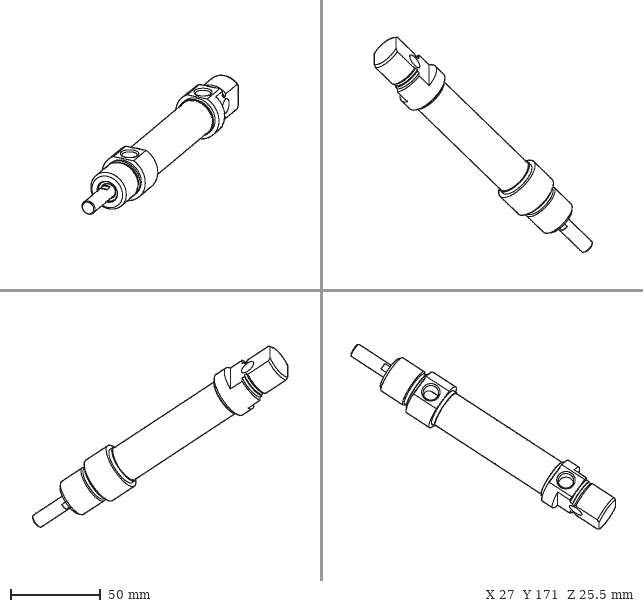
import cadquery as cq
import math

LENGTH = 171.0
OVERSHOOT = 1.7

COLLAR_D = 27.0
COLLAR_LENGTH = 15.5
TOP_FLAT_Z = 12.0
THREAD_D = 22.0
GROOVE_D = 20.0
LIP_D = 22.2
LIP_LENGTH = 2.0

PORT_D = 8.5
PORT_MOUTH_D = 10.3
PORT_CHAMFER = (PORT_MOUTH_D - PORT_D) / 2
DRILL_POINT_ANGLE = 118.0

REAR_CHAMFER = 1.2
REAR_GROOVE_START = 15.7
REAR_GROOVE_TAPER = 1.0
REAR_GROOVE_END = 18.1
REAR_COLLAR_START = 19.7
REAR_COLLAR_END = REAR_COLLAR_START + COLLAR_LENGTH
TONGUE_WIDTH = 16.0
TONGUE_END = 28.0
PIVOT_HOLE_D = 8.5
PIVOT_HOLE_AT = 15.9
REAR_PORT_AT = 28.0
REAR_PORT_FLOOR_Z = 5.1

TUBE_D = 21.2
TUBE_BORE_D = 20.0
TUBE_START = REAR_COLLAR_END + LIP_LENGTH

FRONT_COLLAR_START = 111.3
FRONT_COLLAR_END = FRONT_COLLAR_START + COLLAR_LENGTH
FRONT_LIP_START = FRONT_COLLAR_START - LIP_LENGTH
NECK_END = 128.5
FRONT_GROOVE_END = 131.0
FRONT_GROOVE_TAPER = 0.5
FRONT_FACE = 147.0
FRONT_CHAMFER = 1.5
FRONT_PORT_AT = 119.4
SEAL_MOUTH_D = 12.7
SEAL_RECESS_D = 12.0
SEAL_CHAMFER = (SEAL_MOUTH_D - SEAL_RECESS_D) / 2
SEAL_RECESS_DEPTH = 1.4
GUIDE_BORE_D = 9.0
GUIDE_CHAMFER_DEPTH = 0.5

ROD_D = 8.0
ROD_CHAMFER = 0.5
ROD_FLATS_WIDTH = 7.0
ROD_FLATS_START = 147.5
ROD_FLATS_END = 151.7


def along(station):
    """Y coordinate of a distance measured from the rear end."""
    return LENGTH / 2 - station


def turned(profile):
    """Solid of revolution from (diameter, station) points, closed on the axis."""
    points = [(0, along(profile[0][1]))]
    points += [(diameter / 2, along(station)) for diameter, station in profile]
    points += [(0, along(profile[-1][1]))]
    return cq.Workplane("XY").polyline(points).close().revolve(360, (0, 0), (0, 1))


def block(width, height, start, end, x=0.0, z=0.0):
    """Box centred at (x, z) that spans two stations."""
    return cq.Workplane("XY").box(width, end - start, height).translate((x, along((start + end) / 2), z))


def port_cutter(station, floor_z, tip_depth):
    """Vertical port with a chamfered mouth; a nonzero tip depth gives it a drill point."""
    mouth, bore = PORT_MOUTH_D / 2, PORT_D / 2
    points = [(0, TOP_FLAT_Z), (mouth, TOP_FLAT_Z), (bore, TOP_FLAT_Z - PORT_CHAMFER), (bore, floor_z)]
    points.append((0, floor_z - tip_depth))
    cutter = cq.Workplane("XZ").polyline(points).close().revolve(360, (0, 0), (0, 1))
    return cutter.translate((0, along(station), 0))


def top_flat_cutter(start, end):
    """Material above the port flat between two stations."""
    return block(COLLAR_D, COLLAR_D, start, end, z=TOP_FLAT_Z + COLLAR_D / 2)


def make_rear_cap():
    cap = turned([
        (THREAD_D - 2 * REAR_CHAMFER, 0), (THREAD_D, REAR_CHAMFER),
        (THREAD_D, REAR_GROOVE_START), (GROOVE_D, REAR_GROOVE_START + REAR_GROOVE_TAPER),
        (GROOVE_D, REAR_GROOVE_END), (THREAD_D, REAR_GROOVE_END),
        (THREAD_D, REAR_COLLAR_START), (COLLAR_D, REAR_COLLAR_START),
        (COLLAR_D, REAR_COLLAR_END), (LIP_D, REAR_COLLAR_END), (LIP_D, TUBE_START),
    ])
    cap = cap.cut(top_flat_cutter(REAR_COLLAR_START, REAR_COLLAR_END))

    for side in (-1, 1):
        offset = side * (TONGUE_WIDTH + COLLAR_D) / 2
        cap = cap.cut(block(COLLAR_D, 2 * COLLAR_D, -OVERSHOOT, TONGUE_END, x=offset))

    pivot_hole = cq.Workplane("YZ").center(along(PIVOT_HOLE_AT), 0).circle(PIVOT_HOLE_D / 2)
    cap = cap.cut(pivot_hole.extrude(COLLAR_D, both=True))

    tip_depth = PORT_D / 2 / math.tan(math.radians(DRILL_POINT_ANGLE / 2))
    return cap.cut(port_cutter(REAR_PORT_AT, REAR_PORT_FLOOR_Z, tip_depth))


def make_tube():
    tube = turned([(TUBE_D, TUBE_START), (TUBE_D, FRONT_LIP_START)])
    return tube.cut(turned([(TUBE_BORE_D, TUBE_START), (TUBE_BORE_D, FRONT_LIP_START)]))


def make_front_cap():
    cap = turned([
        (LIP_D, FRONT_LIP_START), (LIP_D, FRONT_COLLAR_START),
        (COLLAR_D, FRONT_COLLAR_START), (COLLAR_D, FRONT_COLLAR_END),
        (THREAD_D, FRONT_COLLAR_END), (THREAD_D, NECK_END),
        (GROOVE_D, NECK_END), (GROOVE_D, FRONT_GROOVE_END - FRONT_GROOVE_TAPER),
        (THREAD_D, FRONT_GROOVE_END), (THREAD_D, FRONT_FACE - FRONT_CHAMFER),
        (THREAD_D - 2 * FRONT_CHAMFER, FRONT_FACE),
    ])
    cap = cap.cut(top_flat_cutter(FRONT_COLLAR_START, FRONT_COLLAR_END))
    cap = cap.cut(port_cutter(FRONT_PORT_AT, 0, 0))

    recess_floor = FRONT_FACE - SEAL_RECESS_DEPTH
    return cap.cut(turned([
        (ROD_D, FRONT_LIP_START), (ROD_D, recess_floor - GUIDE_CHAMFER_DEPTH),
        (GUIDE_BORE_D, recess_floor), (SEAL_RECESS_D, recess_floor),
        (SEAL_RECESS_D, FRONT_FACE - SEAL_CHAMFER), (SEAL_MOUTH_D, FRONT_FACE),
    ]))


def make_rod():
    rod = turned([
        (ROD_D, FRONT_LIP_START), (ROD_D, LENGTH - ROD_CHAMFER), (ROD_D - 2 * ROD_CHAMFER, LENGTH),
    ])

    for side in (-1, 1):
        offset = side * (ROD_FLATS_WIDTH + ROD_D) / 2
        rod = rod.cut(block(ROD_D, ROD_D, ROD_FLATS_START, ROD_FLATS_END, z=offset))
    return rod


rear_cap = make_rear_cap()
tube = make_tube()
front_cap = make_front_cap()
rod = make_rod()
result = cq.Compound.makeCompound([rear_cap.val(), tube.val(), front_cap.val(), rod.val()])